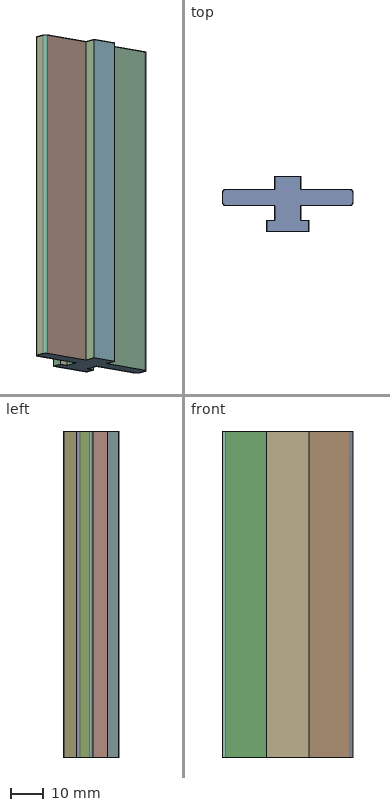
import cadquery as cq

length = 100.0
depth = 17.0

wing_span = 40.0
wing_thickness = 5.0
wing_setback = 4.0
wing_edge_radius = 1.0

stem_width = 8.0
foot_width = 13.0
foot_thickness = 3.5

back_y = depth / 2
front_y = -depth / 2


def bar(width, thickness, center_y):
    """Full-length rectangular bar, centred on X and Z."""
    return cq.Workplane("XY").box(width, thickness, length).translate((0, center_y, 0))


stem = bar(stem_width, depth, 0)
foot = bar(foot_width, foot_thickness, front_y + foot_thickness / 2)

wing_center_y = back_y - wing_setback - wing_thickness / 2
wings = bar(wing_span, wing_thickness, wing_center_y).edges("|Z").fillet(wing_edge_radius)

result = stem.union(foot).union(wings)